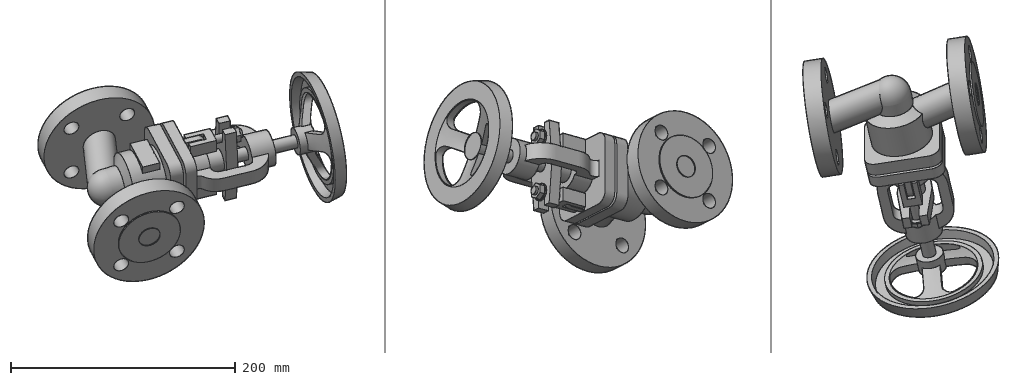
import cadquery as cq
import math


overall_length = 246.0
face_to_face = 150.0
flange_radius = 105.0 / 2
flange_thickness = 16.5
raised_face_radius = 29.3
raised_face_height = 1.5
port_radius = 10.0
port_depth = 1.0
bolt_hole_radius = 14.0 / 2
bolt_circle_radius = 37.5
pipe_radius = 14.8
inlet_slope_angle = 15.4
outlet_slope_angle = 17.6

neck_radius = 17.2
neck_end_y = -13.8
cone_bottom_y = -2.0
body_bottom_y = 3.0
body_radius = 27.8
badge_width = 33.2
badge_bottom_y = 14.5
badge_top_y = 30.8
badge_base_z = 22.0
badge_face_z = 30.0

bonnet_width = 68.5
bonnet_corner_radius = 10.5
body_flange_bottom_y = 34.7
body_flange_top_y = 47.0
bonnet_bottom_y = 49.2
bonnet_top_y = 59.8
gasket_radius = 54.0 / 2

yoke_thickness = 15.3
yoke_half_width = 63.7 / 2
yoke_side_radius = 21.7
yoke_side_bottom_y = 86.0
yoke_side_top_y = 113.2
yoke_waist_y = 69.1
yoke_foot_radius = 5.5
yoke_boss_radius = 33.2 / 2
window_half_width = 22.6
window_bottom_y = 79.5
window_top_y = 118.8
window_corner_radius = 7.0
bush_top_y = 141.2
stem_radius = 6.2

gland_radius = 10.0
gland_bar_bottom_y = 94.5
gland_bar_top_y = 105.3
gland_bar_half_length = 39.9
gland_bar_mid_half_width = 31.7 / 2
gland_bar_end_half_width = 11.5
gland_slot_width = 8.5
bolt_offset_z = 26.0
stud_radius = 4.0
stud_top_y = 114.2
nut_across_flats = 13.0
nut_height = 5.0
washer_radius = 16.0 / 2
washer_thickness = 1.5
block_width = 17.0
block_depth = 13.0
block_bottom_y = 62.7
block_top_y = 87.5
block_slot_width = 7.5
lug_thickness = 5.7
lug_radius = 7.0
lug_pivot_y = window_bottom_y - lug_radius

wheel_radius = 60.0
wheel_top_radius = 57.0
wheel_top_y = overall_length - flange_radius
wheel_rim_y = 181.5
rim_inner_radius = 55.5
recess_outer_radius = 53.6
recess_inner_radius = 44.5
recess_floor_y = 190.0
dish_ring_y = 185.5
dish_radius = 40.3
hub_radius = 12.5
hub_top_y = 181.5
hub_bottom_y = 165.5
hub_cone_y = 173.0
dish_thickness = wheel_top_y - dish_ring_y
spoke_half_width = 8.0
spoke_count = 3
opening_inner_radius = 9.8
opening_outer_radius = 39.5
opening_corner_radius = 7.1


def y_cylinder(radius, y_bottom, y_top, z=0.0):
    """Round bar parallel to the stem axis."""
    base = cq.Vector(0, y_bottom, z)
    return cq.Workplane(cq.Solid.makeCylinder(radius, y_top - y_bottom, base, cq.Vector(0, 1, 0)))


def block(width, y_bottom, y_top, z_bottom, z_top):
    """Rectangular block centred on X = 0."""
    centre = (0, (y_bottom + y_top) / 2, (z_bottom + z_top) / 2)
    return cq.Workplane("XY").box(width, y_top - y_bottom, z_top - z_bottom).translate(centre)


def pipe_flange(side):
    """Bolted flange with raised face; side is -1 for the -X end and +1 for the +X end."""
    outer_x = face_to_face / 2
    back_x = outer_x - raised_face_height - flange_thickness
    flange = (
        cq.Workplane("YZ", origin=(back_x, 0, 0))
        .circle(flange_radius)
        .extrude(flange_thickness)
        .faces(">X")
        .workplane()
        .circle(raised_face_radius)
        .extrude(raised_face_height)
    )
    holes = (
        cq.Workplane("YZ", origin=(back_x, 0, 0))
        .polarArray(bolt_circle_radius, 45, 360, 4)
        .circle(bolt_hole_radius)
        .extrude(flange_thickness)
    )
    port = cq.Workplane("YZ", origin=(outer_x - port_depth, 0, 0)).circle(port_radius).extrude(port_depth)
    flange = flange.cut(holes).cut(port)
    return flange if side > 0 else flange.mirror("YZ")


def pipe_arm(side, slope_angle):
    """Round pipe from inside a flange to the stem axis, falling toward +X at slope_angle degrees."""
    back_x = face_to_face / 2 - raised_face_height - flange_thickness
    slope = math.tan(math.radians(slope_angle))
    overlap = flange_thickness / 2
    start = cq.Vector(side * (back_x + overlap), side * -overlap * slope, 0)
    end = cq.Vector(0, side * back_x * slope, 0)
    run = end - start
    return cq.Workplane(cq.Solid.makeCylinder(pipe_radius, run.Length, start, run))


def valve_body():
    """Body barrel tapering to a round-ended neck, with a flat badge pad on the +Z side."""
    barrel = (
        cq.Workplane("XY")
        .moveTo(0, body_flange_bottom_y)
        .lineTo(body_radius, body_flange_bottom_y)
        .lineTo(body_radius, body_bottom_y)
        .lineTo(neck_radius, cone_bottom_y)
        .lineTo(neck_radius, neck_end_y)
        .radiusArc((0, neck_end_y - neck_radius), neck_radius)
        .close()
        .revolve(360, (0, 0, 0), (0, 1, 0))
    )
    badge = block(badge_width, badge_bottom_y, badge_top_y, badge_base_z, badge_face_z)
    return barrel.union(badge)


def square_flange(y_bottom, y_top):
    """Square bonnet flange with rounded corners."""
    half = bonnet_width / 2
    return block(bonnet_width, y_bottom, y_top, -half, half).edges("|Y").fillet(bonnet_corner_radius)


def bonnet_joint():
    """Body and bonnet flanges with the round gasket between them."""
    body_flange = square_flange(body_flange_bottom_y, body_flange_top_y)
    bonnet_flange = square_flange(bonnet_bottom_y, bonnet_top_y)
    gasket = y_cylinder(gasket_radius, body_flange_top_y, bonnet_bottom_y)
    return body_flange.union(gasket).union(bonnet_flange)


def yoke():
    """Two curved arms joining the bonnet neck to the stem bush."""
    arc_centre_x = yoke_half_width - yoke_side_radius
    shoulder_x = (yoke_boss_radius + arc_centre_x) / 2
    shoulder_y = yoke_side_top_y + math.sqrt(yoke_side_radius**2 - (shoulder_x - arc_centre_x) ** 2)
    waist_drop = yoke_side_bottom_y - yoke_waist_y
    waist_reach = math.sqrt(yoke_side_radius**2 - waist_drop**2)
    waist_x = arc_centre_x + waist_reach
    foot_ratio = yoke_foot_radius / yoke_side_radius
    foot_centre_x = waist_x + waist_reach * foot_ratio
    foot_centre_y = yoke_waist_y - waist_drop * foot_ratio
    foot_x = foot_centre_x - math.sqrt(yoke_foot_radius**2 - (foot_centre_y - bonnet_top_y) ** 2)

    half_plate = (
        cq.Workplane("XY", origin=(0, 0, -yoke_thickness / 2))
        .moveTo(0, bonnet_top_y)
        .lineTo(foot_x, bonnet_top_y)
        .radiusArc((waist_x, yoke_waist_y), yoke_foot_radius)
        .radiusArc((yoke_half_width, yoke_side_bottom_y), -yoke_side_radius)
        .lineTo(yoke_half_width, yoke_side_top_y)
        .radiusArc((shoulder_x, shoulder_y), -yoke_side_radius)
        .lineTo(0, shoulder_y)
        .close()
        .extrude(yoke_thickness)
    )
    plate = half_plate.union(half_plate.mirror("YZ"))
    window = block(
        2 * window_half_width, window_bottom_y, window_top_y, -yoke_thickness / 2, yoke_thickness / 2
    )
    plate = plate.cut(window.edges("|Z").fillet(window_corner_radius))
    neck = y_cylinder(yoke_boss_radius, bonnet_top_y, window_bottom_y)
    bush = y_cylinder(yoke_boss_radius, window_top_y, bush_top_y)
    return plate.union(neck).union(bush)


def gland():
    """Gland sleeve with a tapered bar slotted at both ends for the eye bolts."""
    sleeve = y_cylinder(gland_radius, window_bottom_y, gland_bar_bottom_y)
    bar = (
        cq.Workplane("XZ", origin=(0, gland_bar_top_y, 0))
        .polyline(
            [
                (gland_bar_mid_half_width, 0),
                (gland_bar_end_half_width, gland_bar_half_length),
                (-gland_bar_end_half_width, gland_bar_half_length),
                (-gland_bar_mid_half_width, 0),
                (-gland_bar_end_half_width, -gland_bar_half_length),
                (gland_bar_end_half_width, -gland_bar_half_length),
            ]
        )
        .close()
        .extrude(gland_bar_top_y - gland_bar_bottom_y)
    )
    slot = block(
        gland_slot_width, gland_bar_bottom_y, gland_bar_top_y, bolt_offset_z, gland_bar_half_length
    ).union(y_cylinder(gland_slot_width / 2, gland_bar_bottom_y, gland_bar_top_y, bolt_offset_z))
    return sleeve.union(bar.cut(slot).cut(slot.mirror("XY")))


def eye_bolt():
    """Stud with nut, washer and forked block over its bonnet lug, on the +Z side."""
    stud = y_cylinder(stud_radius, block_top_y, stud_top_y, bolt_offset_z)
    nut_bottom_y = gland_bar_top_y + washer_thickness
    washer = y_cylinder(washer_radius, gland_bar_top_y, nut_bottom_y, bolt_offset_z)
    nut = (
        cq.Workplane("XZ", origin=(0, nut_bottom_y, bolt_offset_z))
        .transformed(rotate=(0, 0, 90))
        .polygon(6, nut_across_flats / math.cos(math.pi / 6))
        .extrude(-nut_height)
    )
    block_bottom_z = bolt_offset_z - block_depth / 2
    block_top_z = bolt_offset_z + block_depth / 2
    fork = block(block_width, block_bottom_y, block_top_y, block_bottom_z, block_top_z)
    fork = fork.cut(
        block(block_slot_width, block_bottom_y, window_bottom_y, block_bottom_z, block_top_z)
    )
    lug_end = (
        cq.Workplane("YZ", origin=(-lug_thickness / 2, lug_pivot_y, bolt_offset_z))
        .circle(lug_radius)
        .extrude(lug_thickness)
    )
    lug_web = block(lug_thickness, bonnet_top_y, window_bottom_y, 0, bolt_offset_z)
    lug_foot = block(lug_thickness, bonnet_top_y, lug_pivot_y, 0, bolt_offset_z + lug_radius)
    lug = lug_web.union(lug_foot).union(lug_end)
    return stud.union(washer).union(nut).union(fork).union(lug)


def wheel_opening():
    """Opening between two spokes, centred on the +Z direction."""
    spoke_angle = math.radians(90 - 180 / spoke_count)

    def spoke_edge_point(radius):
        along = math.sqrt(radius**2 - spoke_half_width**2)
        x = along * math.cos(spoke_angle) - spoke_half_width * math.sin(spoke_angle)
        z = along * math.sin(spoke_angle) + spoke_half_width * math.cos(spoke_angle)
        return x, z

    inner_x, inner_z = spoke_edge_point(opening_inner_radius)
    outer_x, outer_z = spoke_edge_point(opening_outer_radius)
    opening = (
        cq.Workplane("XZ", origin=(0, wheel_top_y, 0))
        .moveTo(inner_x, inner_z)
        .lineTo(outer_x, outer_z)
        .threePointArc((0, opening_outer_radius), (-outer_x, outer_z))
        .lineTo(-inner_x, inner_z)
        .close()
        .extrude(wheel_top_y - hub_bottom_y)
    )
    return opening.edges("|Y").edges(">Z").fillet(opening_corner_radius)


def handwheel():
    """Dished three-spoke wheel with a tapered, hollow rim."""
    wheel = (
        cq.Workplane("XY")
        .polyline(
            [
                (0, hub_cone_y),
                (hub_radius, hub_cone_y),
                (dish_radius, dish_ring_y),
                (recess_inner_radius, dish_ring_y),
                (recess_inner_radius, recess_floor_y),
                (recess_outer_radius, recess_floor_y),
                (rim_inner_radius, wheel_rim_y),
                (wheel_radius, wheel_rim_y),
                (wheel_top_radius, wheel_top_y),
                (dish_radius, wheel_top_y),
                (hub_radius, hub_cone_y + dish_thickness),
                (0, hub_cone_y + dish_thickness),
            ]
        )
        .close()
        .revolve(360, (0, 0, 0), (0, 1, 0))
    )
    opening = wheel_opening()
    for index in range(spoke_count):
        wheel = wheel.cut(opening.rotate((0, 0, 0), (0, 1, 0), index * 360 / spoke_count))
    return wheel.union(y_cylinder(hub_radius, hub_bottom_y, hub_top_y))


upper_bolt = eye_bolt()
stem = y_cylinder(stem_radius, gland_bar_bottom_y, hub_bottom_y)

result = valve_body()
for part in (
    pipe_arm(-1, inlet_slope_angle),
    pipe_arm(1, outlet_slope_angle),
    pipe_flange(-1),
    pipe_flange(1),
    bonnet_joint(),
    yoke(),
    gland(),
    upper_bolt,
    upper_bolt.mirror("XY"),
    stem,
    handwheel(),
):
    result = result.union(part)